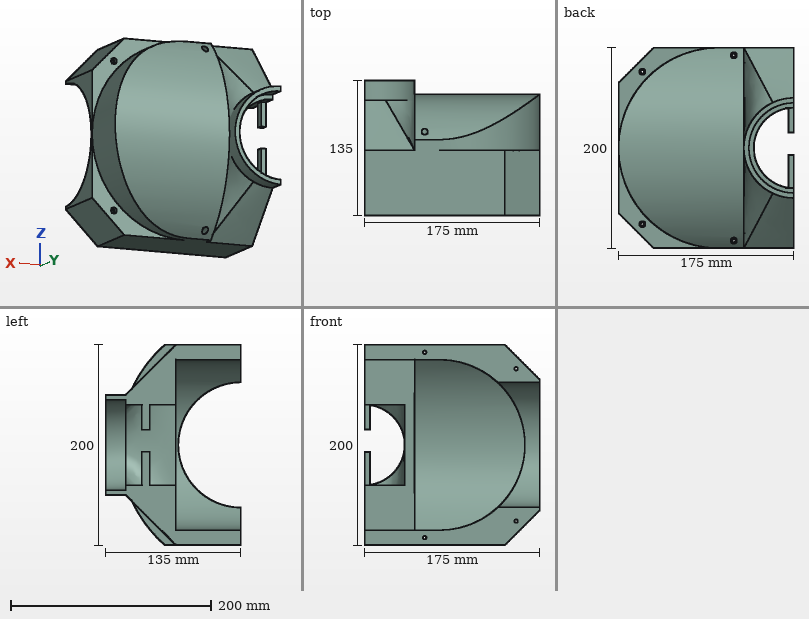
import cadquery as cq
import math

height = 200.0
half_height = height / 2
wall = 15.0
cavity_half_height = half_height - wall
frame_depth = 65.0
corner_chamfer = 35.0

web_end = 50.0
arc_center_x = 75.0
length = arc_center_x + half_height
dome_axis_y = -11.5
dome_radius = 132.8
inner_dome_axis_y = -3.5
inner_dome_radius = 114.8
side_opening_radius = 62.5

collar_base = 115.0
collar_length = 20.0
collar_radius = web_end
collar_wall = 5.0
neck_corner_angle = 25.0

pocket_width = 40.0
pocket_half_height = 40.0
funnel_half_height = 80.0
funnel_corner_angle = 30.0

tongue_thickness = 5.5
tongue_width = 8.0
tongue_front = 90.8
upper_tongue_tip = 15.2
lower_tongue_tip = -7.0

screw_diameter = 3.2
head_diameter = 6.2
head_seat = frame_depth - 5.0
screw_places = [(60.0, 92.5), (151.2, 76.0)]


def block(x0, x1, y0, y1, z0, z1):
    """Box given by its limits along each axis."""
    return cq.Workplane("XY").box(x1 - x0, y1 - y0, z1 - z0, centered=False).translate((x0, y0, z0))


def rod_along_y(x, z, radius, y0, y1):
    """Cylinder parallel to Y."""
    return cq.Workplane("XZ", origin=(x, y0, z)).circle(radius).extrude(y0 - y1)


def rod_along_x(y, radius):
    """Cylinder parallel to X over the full length of the part."""
    return cq.Workplane("YZ").center(y, 0).circle(radius).extrude(length)


def rounded_prism(radius, depth):
    """Prism along Y, flat at the web and round on the far side."""
    return (
        cq.Workplane("XZ")
        .moveTo(web_end, -radius)
        .lineTo(arc_center_x, -radius)
        .threePointArc((arc_center_x + radius, 0), (arc_center_x, radius))
        .lineTo(web_end, radius)
        .close()
        .extrude(-depth)
    )


def rectangle_to_half_round(width, half_side, radius, corner_angle):
    """Ruled taper from a rectangle at the frame to a half disc at the collar.

    The rectangle corners run to points on the arc, corner_angle away from its ends.
    """
    def on_arc(degrees):
        angle = math.radians(degrees)
        return cq.Vector(radius * math.sin(angle), collar_base, radius * math.cos(angle))

    corners = [
        cq.Vector(x, frame_depth, z)
        for x, z in [(0, half_side), (width, half_side), (width, -half_side), (0, -half_side)]
    ]
    rectangle = cq.Wire.makePolygon(corners, close=True)
    stops = [0, corner_angle, 180 - corner_angle, 180]
    edges = [
        cq.Edge.makeThreePointArc(on_arc(start), on_arc((start + end) / 2), on_arc(end))
        for start, end in zip(stops, stops[1:])
    ]
    edges.append(cq.Edge.makeLine(on_arc(180), on_arc(0)))
    half_round = cq.Wire.assembleEdges(edges)
    return cq.Workplane(cq.Solid.makeLoft([rectangle, half_round], True))


def make_frame():
    """Chamfered block that the cavity is cut from."""
    return (
        block(0, length, 0, frame_depth, -half_height, half_height)
        .edges("|Y and >X")
        .chamfer(corner_chamfer)
    )


def make_housing():
    dome = rod_along_x(dome_axis_y, dome_radius)
    outside = rounded_prism(half_height, collar_base + collar_length).intersect(dome)
    behind_frame = block(web_end, length, frame_depth, collar_base + collar_length, -half_height, half_height)
    return outside.intersect(behind_frame)


def make_cavity():
    inner_dome = rod_along_x(inner_dome_axis_y, inner_dome_radius)
    rounded = rounded_prism(cavity_half_height, collar_base).intersect(inner_dome)
    front = block(0, web_end, 0, frame_depth, -cavity_half_height, cavity_half_height)
    return rounded.union(front)


def make_collar():
    collar_end = collar_base + collar_length
    ring = rod_along_y(0, 0, collar_radius, collar_base, collar_end).cut(
        rod_along_y(0, 0, collar_radius - collar_wall, collar_base, collar_end)
    )
    return ring.intersect(block(0, collar_radius, collar_base, collar_end, -collar_radius, collar_radius))


def make_pocket():
    funnel = rectangle_to_half_round(pocket_width, funnel_half_height, pocket_width, funnel_corner_angle)
    opening = block(0, pocket_width, frame_depth, collar_base, -pocket_half_height, pocket_half_height)
    return funnel.intersect(opening)


def make_tongue(z0, z1):
    return block(0, tongue_thickness, tongue_front, tongue_front + tongue_width, z0, z1)


def make_screw_hole(x, z):
    back = collar_base + collar_length
    shank = rod_along_y(x, z, screw_diameter / 2, 0, back)
    head = rod_along_y(x, z, head_diameter / 2, head_seat, back)
    return shank.union(head)


neck = rectangle_to_half_round(web_end, half_height, collar_radius, neck_corner_angle)
neck_and_collar = neck.cut(make_pocket()).union(make_collar())
result = make_frame().union(make_housing()).union(neck_and_collar)
result = result.cut(make_cavity()).cut(rod_along_x(0, side_opening_radius))
result = result.union(make_tongue(upper_tongue_tip, pocket_half_height))
result = result.union(make_tongue(-pocket_half_height, lower_tongue_tip))
for screw_x, screw_z in screw_places:
    for side in (1, -1):
        result = result.cut(make_screw_hole(screw_x, side * screw_z))